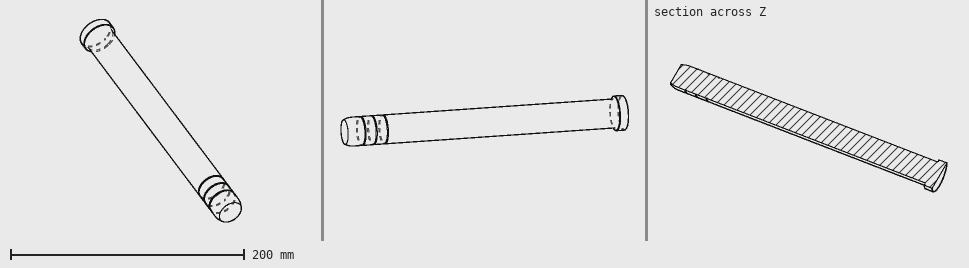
import cadquery as cq
import math

total_length = 250.0
head_diameter = 30.0
head_length = 8.0
shaft_diameter = 25.0

head_edge_chamfer = 0.5
neck_fillet_radius = 0.5

groove_count = 3
first_groove_x = 215.0
groove_pitch = 10.0
groove_width = 1.0
groove_depth = 0.5

tip_radius = 14.0
tip_arc_angle = 30.0

shaft_radius = shaft_diameter / 2


def revolve_about_x(profile):
    """Close a half section and turn it about the pin axis."""
    return profile.close().revolve(360, (0, 0, 0), (1, 0, 0))


def make_head():
    head = cq.Workplane("YZ").circle(head_diameter / 2).extrude(head_length)
    return head.edges().chamfer(head_edge_chamfer)


def make_shaft():
    tip_start = total_length - tip_radius * math.sin(math.radians(tip_arc_angle))

    def tip_point(angle):
        """Point on the tip arc, the angle measured from where it leaves the shaft."""
        sweep = math.radians(angle)
        drop = tip_radius * (1 - math.cos(sweep))
        return (tip_start + tip_radius * math.sin(sweep), shaft_radius - drop)

    profile = (
        cq.Workplane("XY")
        .lineTo(0, shaft_radius)
        .lineTo(*tip_point(0))
        .threePointArc(tip_point(tip_arc_angle / 2), tip_point(tip_arc_angle))
        .lineTo(total_length, 0)
    )
    return revolve_about_x(profile)


def make_neck_fillet():
    """Concave ring that blends the inner face of the head into the shaft."""
    outer_height = shaft_radius + neck_fillet_radius
    outer_x = head_length + neck_fillet_radius
    arc_inset = neck_fillet_radius * (1 - math.sqrt(0.5))
    profile = (
        cq.Workplane("XY")
        .moveTo(head_length - neck_fillet_radius, 0)
        .lineTo(head_length - neck_fillet_radius, outer_height)
        .lineTo(head_length, outer_height)
        .threePointArc(
            (head_length + arc_inset, shaft_radius + arc_inset),
            (outer_x, shaft_radius),
        )
        .lineTo(outer_x, 0)
    )
    return revolve_about_x(profile)


def make_groove_cutter(center_x):
    """Ring whose section is a circular segment below the shaft surface."""
    profile = (
        cq.Workplane("XY")
        .moveTo(center_x - groove_width / 2, shaft_radius)
        .threePointArc(
            (center_x, shaft_radius - groove_depth),
            (center_x + groove_width / 2, shaft_radius),
        )
    )
    return revolve_about_x(profile)


result = make_head().union(make_shaft()).union(make_neck_fillet())
for index in range(groove_count):
    result = result.cut(make_groove_cutter(first_groove_x + index * groove_pitch))